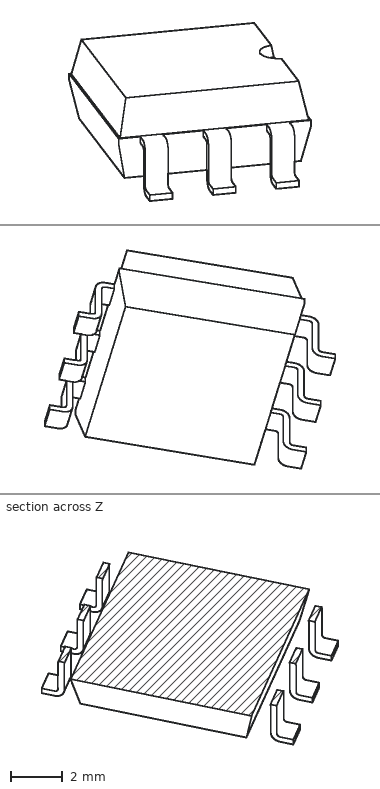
import cadquery as cq

SPAN_X = 10.22
BODY_Y = 7.74
HEIGHT = 3.68

BODY_X = 7.38
BODY_BOTTOM = 0.38
LEDGE = 0.07
TOP_TAPER_INSET = 0.32
BOTTOM_TAPER_INSET = 0.32

LEAD_THICKNESS = 0.26
LEAD_WIDTH = 0.92
LEAD_PITCH = 2.54
LEADS_PER_SIDE = 3
LEAD_TOP = 2.16
LEG_SETBACK = 0.66
INNER_BEND = 0.13
OUTER_BEND = INNER_BEND + LEAD_THICKNESS
LEAD_EMBED = 0.2

BAND_TOP = LEAD_TOP
BAND_BOTTOM = BAND_TOP - LEAD_THICKNESS

NOTCH_RADIUS = 0.76
NOTCH_DEPTH = 0.5


def tapered_block(x_size, y_size, base_z, end_z, inset):
    """Block whose four sides lean in by `inset` between base_z and end_z."""
    return (
        cq.Workplane("XY", origin=(0, 0, base_z))
        .rect(x_size, y_size)
        .workplane(offset=end_z - base_z)
        .rect(x_size - 2 * inset, y_size - 2 * inset)
        .loft(ruled=True)
    )


def moulded_body():
    upper_x = BODY_X - 2 * LEDGE
    upper_y = BODY_Y - 2 * LEDGE
    upper = tapered_block(upper_x, upper_y, BAND_TOP, HEIGHT, TOP_TAPER_INSET)
    lower = tapered_block(BODY_X, BODY_Y, BAND_BOTTOM, BODY_BOTTOM, BOTTOM_TAPER_INSET)
    band = (
        cq.Workplane("XY", origin=(0, 0, BAND_BOTTOM))
        .rect(BODY_X, BODY_Y)
        .extrude(LEAD_THICKNESS)
    )
    return band.union(upper).union(lower)


def orientation_notch():
    """Cylinder centred where the notch floor meets the sloping +Y side."""
    top_edge_y = BODY_Y / 2 - LEDGE - TOP_TAPER_INSET
    slope = TOP_TAPER_INSET / (HEIGHT - BAND_TOP)
    centre_y = top_edge_y + slope * NOTCH_DEPTH
    return (
        cq.Workplane("XY", origin=(0, centre_y, HEIGHT - NOTCH_DEPTH))
        .circle(NOTCH_RADIUS)
        .extrude(NOTCH_DEPTH)
    )


def right_lead():
    """Z-shaped strip on the +X side, centred on Y = 0."""
    tip_x = SPAN_X / 2
    leg_outer = tip_x - LEG_SETBACK
    leg_inner = leg_outer - LEAD_THICKNESS
    root_x = BODY_X / 2 - LEAD_EMBED
    upper_bend_x = leg_outer - OUTER_BEND
    lower_bend_x = leg_inner + OUTER_BEND
    return (
        cq.Workplane("XZ", origin=(0, LEAD_WIDTH / 2, 0))
        .moveTo(root_x, LEAD_TOP)
        .lineTo(upper_bend_x, LEAD_TOP)
        .radiusArc((leg_outer, LEAD_TOP - OUTER_BEND), OUTER_BEND)
        .lineTo(leg_outer, OUTER_BEND)
        .radiusArc((lower_bend_x, LEAD_THICKNESS), -INNER_BEND)
        .lineTo(tip_x, LEAD_THICKNESS)
        .lineTo(tip_x, 0)
        .lineTo(lower_bend_x, 0)
        .radiusArc((leg_inner, OUTER_BEND), OUTER_BEND)
        .lineTo(leg_inner, LEAD_TOP - OUTER_BEND)
        .radiusArc((upper_bend_x, BAND_BOTTOM), -INNER_BEND)
        .lineTo(root_x, BAND_BOTTOM)
        .close()
        .extrude(LEAD_WIDTH)
    )


result = moulded_body().cut(orientation_notch())

lead = right_lead()
for row in range(LEADS_PER_SIDE):
    lead_y = (row - (LEADS_PER_SIDE - 1) / 2) * LEAD_PITCH
    placed = lead.translate((0, lead_y, 0))
    result = result.union(placed).union(placed.mirror("YZ"))